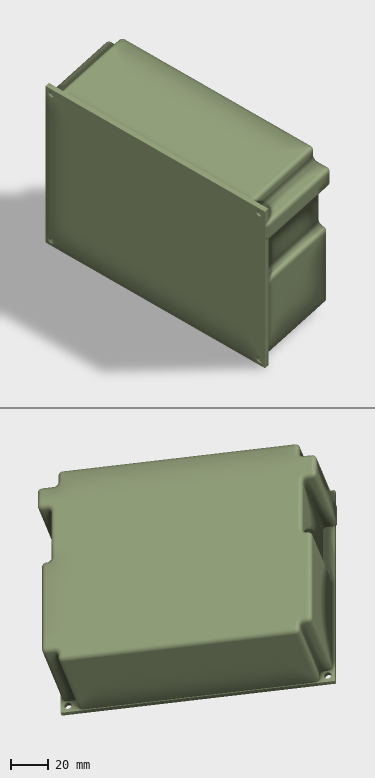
import cadquery as cq

plate_width = 150.0
plate_height = 120.0
plate_thickness = 2.9
hole_diameter = 4.0
hole_inset = 4.0

overall_width = 152.5
depth = 55.0
end_margin = 0.5
body_bottom = end_margin
body_top = plate_height - end_margin
outer_radius = 2.5

left_overhang = 1.0
left_bar_face = -plate_width / 2 - left_overhang
right_bar_face = left_bar_face + overall_width

foot_top = 6.9
block_top = 63.4
bar_bottom = 97.3

block_inset = 2.3
waist_inset = 7.5

left_neck_inset = 9.1
left_bar_top = 111.5
left_inner_radius = 2.0
right_neck_inset = 11.3
right_bar_top = 110.4
right_inner_radius = 2.6


def side_outline(bar_face, inward, neck_inset, bar_top):
    """Return the (x, z) corners of one side, from the bottom up, and its inward corners."""
    neck = bar_face + inward * neck_inset
    block = bar_face + inward * block_inset
    waist = bar_face + inward * waist_inset
    corners = [
        (neck, body_bottom),
        (neck, foot_top),
        (block, foot_top),
        (block, block_top),
        (waist, block_top),
        (waist, bar_bottom),
        (bar_face, bar_bottom),
        (bar_face, bar_top),
        (neck, bar_top),
        (neck, body_top),
    ]
    inward_corners = [(neck, foot_top), (waist, block_top), (waist, bar_bottom), (neck, bar_top)]
    return corners, inward_corners


def round_corners(body, corners, radius):
    """Fillet the edges along Y that pass through the given (x, z) corners."""
    for x, z in corners:
        edge = cq.selectors.NearestToPointSelector((x, depth / 2, z))
        body = body.edges(edge).fillet(radius)
    return body


def make_body():
    """Stepped block with every edge rounded."""
    left, left_inward = side_outline(left_bar_face, 1, left_neck_inset, left_bar_top)
    right, right_inward = side_outline(right_bar_face, -1, right_neck_inset, right_bar_top)

    outline = left + right[::-1]
    body = cq.Workplane("XZ").polyline(outline).close().extrude(-depth)

    body = round_corners(body, left_inward, left_inner_radius)
    body = round_corners(body, right_inward, right_inner_radius)
    outward = [corner for corner in outline if corner not in left_inward + right_inward]
    body = round_corners(body, outward, outer_radius)

    for rim in (">Y", "<Y"):
        body = body.faces(rim).edges().fillet(outer_radius)
    return body


def make_plate():
    """Flat front plate."""
    return cq.Workplane("XY").box(
        plate_width, plate_thickness, plate_height, centered=(True, False, False)
    )


def make_holes():
    """Mounting holes near the plate corners, clear of the body."""
    hole_x = plate_width / 2 - hole_inset
    centres = [
        (x, z) for x in (-hole_x, hole_x) for z in (hole_inset, plate_height - hole_inset)
    ]
    return cq.Workplane("XZ").pushPoints(centres).circle(hole_diameter / 2).extrude(-plate_thickness)


result = make_body().union(make_plate()).cut(make_holes())